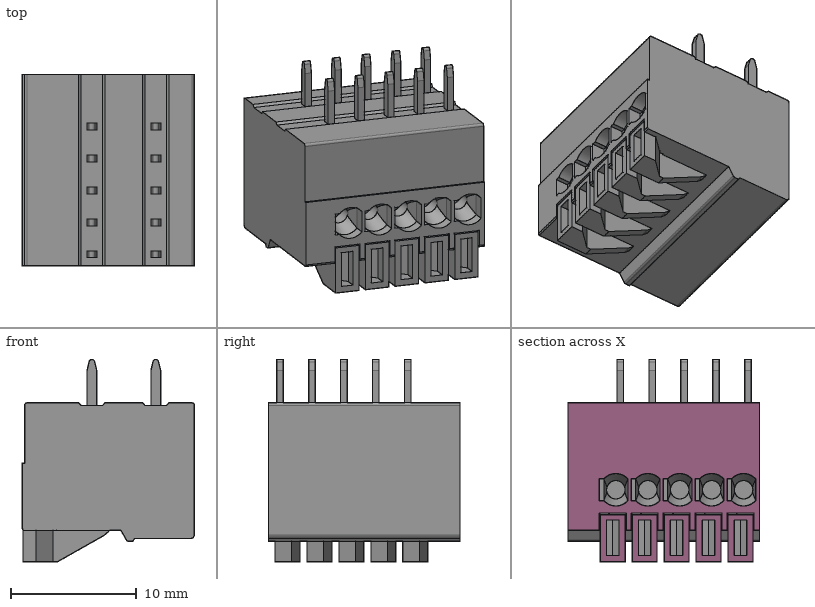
import cadquery as cq

LENGTH = 13.7
WIDTH = 15.24
TOP_Z = 12.65
BOTTOM_Z = 2.5
STEP_Z = 7.85
STEP_DEPTH = 0.2
EDGE_RADIUS = 0.2
LOW_EDGE_RADIUS = 0.3
FRONT_CHAMFER_X = 0.07
FRONT_CHAMFER_Z = 0.15
REAR_BOTTOM_Z = 1.85

FOOT_START_X = 7.85
FOOT_TIP_X = 8.35
FOOT_TIP_END_X = 8.8
FOOT_END_X = 8.95
FOOT_Z = 1.63
FOOT_RADIUS = 0.2

POLES = 5
POLE_PITCH = 2.54
FUNNEL_Y = POLE_PITCH / 2
LEVER_Y = 1.52
PIN_Y = 0.92

FIRST_ROW_X = 5.55
ROW_X = (FIRST_ROW_X, FIRST_ROW_X + 2 * POLE_PITCH)
GROOVE_TOP_WIDTH = 2.1
GROOVE_DEPTH = 0.2
PIN_LENGTH_X = 0.8
PIN_WIDTH_Y = 0.54
PIN_EMBED = 0.2
PIN_TOP_Z = 16.1
PIN_TAPER_Z = 15.2
PIN_SHOULDER_Z = 15.9
PIN_TIP_HALF = 0.23

FUNNEL_Z = 5.73
FUNNEL_RADIUS = 1.28
FUNNEL_HALF_WIDTH = 0.96
MOUTH_DEPTH = 1.07
CONE_LENGTH = 1.5
CONE_END_HALF_WIDTH = 0.71
BORE_RADIUS = 0.73
BORE_DEPTH = 4.0
POCKET_EDGE_Y = 1.3
POCKET_HEIGHT = 1.72

LEVER_FRONT_X = 0.07
LEVER_WIDTH = 2.0
LEVER_TOP_Z = 3.76
LEVER_FLAT_END_X = 2.82
LEVER_KNEE = (6.53, 2.1)
LEVER_END_X = 6.98
HEAD_END_X = 1.12
RIB_START_X = 2.44
RAMP_LENGTH = 0.3
SLOT_WIDTH = 2.12
SLOT_TOP_Z = 3.88
WINDOW_WIDTH = 0.97
WINDOW_BOTTOM_Z = 0.51
WINDOW_TOP_Z = 3.31


def extrude_along_y(outline, start_y, width):
    """Extrude an XZ outline from start_y towards +Y."""
    return outline.extrude(-width).translate((0, start_y, 0))


def make_housing():
    outline = cq.Workplane("XZ").polyline([
        (FRONT_CHAMFER_X, BOTTOM_Z),
        (FOOT_START_X, BOTTOM_Z),
        (FOOT_TIP_X, FOOT_Z),
        (FOOT_TIP_END_X, FOOT_Z),
        (FOOT_END_X, REAR_BOTTOM_Z),
        (LENGTH, REAR_BOTTOM_Z),
        (LENGTH, TOP_Z),
        (STEP_DEPTH, TOP_Z),
        (STEP_DEPTH, STEP_Z),
        (0, STEP_Z),
        (0, BOTTOM_Z + FRONT_CHAMFER_Z),
    ]).close()
    housing = extrude_along_y(outline, 0, WIDTH)
    housing = round_edge(housing, STEP_DEPTH, TOP_Z, EDGE_RADIUS)
    housing = round_edge(housing, LENGTH, TOP_Z, EDGE_RADIUS)
    housing = round_edge(housing, LENGTH, REAR_BOTTOM_Z, LOW_EDGE_RADIUS)
    return round_edge(housing, FOOT_TIP_X, FOOT_Z, FOOT_RADIUS)


def round_edge(body, x, z, radius):
    """Fillet the full-width edge that runs along Y through (x, z)."""
    edge = cq.selectors.NearestToPointSelector((x, WIDTH / 2, z))
    return body.edges("|Y").edges(edge).fillet(radius)


def make_groove(row_x):
    top_half = GROOVE_TOP_WIDTH / 2
    floor_half = top_half - GROOVE_DEPTH
    floor_z = TOP_Z - GROOVE_DEPTH
    outline = cq.Workplane("XZ").polyline([
        (row_x - top_half, TOP_Z),
        (row_x - floor_half, floor_z),
        (row_x + floor_half, floor_z),
        (row_x + top_half, TOP_Z),
    ]).close()
    return extrude_along_y(outline, 0, WIDTH)


def make_pin(row_x, center_y):
    half = PIN_LENGTH_X / 2
    base_z = TOP_Z - GROOVE_DEPTH - PIN_EMBED
    outline = (
        cq.Workplane("XZ")
        .moveTo(row_x - half, base_z)
        .lineTo(row_x + half, base_z)
        .lineTo(row_x + half, PIN_TAPER_Z)
        .lineTo(row_x + PIN_TIP_HALF, PIN_SHOULDER_Z)
        .threePointArc((row_x, PIN_TOP_Z), (row_x - PIN_TIP_HALF, PIN_SHOULDER_Z))
        .lineTo(row_x - half, PIN_TAPER_Z)
        .close()
    )
    return extrude_along_y(outline, center_y - PIN_WIDTH_Y / 2, PIN_WIDTH_Y)


def make_wire_entry(center_y):
    """Flat-sided round mouth with a pocket on its +Y side, narrowing inside to a round bore."""
    axis_start = cq.Workplane("YZ").center(center_y, FUNNEL_Z)
    mouth = axis_start.circle(FUNNEL_RADIUS).extrude(MOUTH_DEPTH)
    mouth_sides = axis_start.rect(2 * FUNNEL_HALF_WIDTH, 2 * FUNNEL_RADIUS).extrude(MOUTH_DEPTH)

    pocket_width = POCKET_EDGE_Y - FUNNEL_HALF_WIDTH
    pocket_start = axis_start.center(FUNNEL_HALF_WIDTH + pocket_width / 2, 0)
    pocket = pocket_start.rect(pocket_width, POCKET_HEIGHT).extrude(MOUTH_DEPTH)

    cone_end_x = MOUTH_DEPTH + CONE_LENGTH
    cone_start = cq.Vector(MOUTH_DEPTH, center_y, FUNNEL_Z)
    cone_axis = cq.Vector(1, 0, 0)
    cone = cq.Workplane(
        cq.Solid.makeCone(FUNNEL_RADIUS, BORE_RADIUS, CONE_LENGTH, cone_start, cone_axis))
    cone_sides = cq.Workplane("XY").polyline([
        (MOUTH_DEPTH, center_y - FUNNEL_HALF_WIDTH),
        (cone_end_x, center_y - CONE_END_HALF_WIDTH),
        (cone_end_x, center_y + CONE_END_HALF_WIDTH),
        (MOUTH_DEPTH, center_y + FUNNEL_HALF_WIDTH),
    ]).close().extrude(TOP_Z)
    bore = axis_start.circle(BORE_RADIUS).extrude(BORE_DEPTH)
    return (
        mouth.intersect(mouth_sides)
        .union(pocket)
        .union(cone.intersect(cone_sides))
        .union(bore)
    )


def narrowing_plan(front_x, end_x, center_y, width, height):
    """Full-width head that narrows at 45 degrees to a rib on the +Y side, extruded upwards."""
    near_y = center_y - width / 2
    far_y = center_y + width / 2
    rib_y = near_y + RIB_START_X - HEAD_END_X
    return cq.Workplane("XY").polyline([
        (front_x, near_y),
        (HEAD_END_X, near_y),
        (RIB_START_X, rib_y),
        (end_x, rib_y),
        (end_x, far_y),
        (front_x, far_y),
    ]).close().extrude(height)


def make_lever_slot(center_y):
    return narrowing_plan(0, RIB_START_X + RAMP_LENGTH, center_y, SLOT_WIDTH, SLOT_TOP_Z)


def make_lever(center_y):
    """Lever whose rib ramps up at the slot's rear to join the housing."""
    side_outline = cq.Workplane("XZ").polyline([
        (LEVER_FRONT_X, 0),
        (LEVER_FLAT_END_X, 0),
        LEVER_KNEE,
        (LEVER_END_X, BOTTOM_Z),
        (LEVER_END_X, SLOT_TOP_Z),
        (RIB_START_X + RAMP_LENGTH, SLOT_TOP_Z),
        (RIB_START_X, LEVER_TOP_Z),
        (LEVER_FRONT_X, LEVER_TOP_Z),
    ]).close()
    side = extrude_along_y(side_outline, center_y - LEVER_WIDTH / 2, LEVER_WIDTH)
    plan = narrowing_plan(LEVER_FRONT_X, LEVER_END_X, center_y, LEVER_WIDTH, SLOT_TOP_Z)
    return side.intersect(plan).cut(make_window(center_y))


def make_window(center_y):
    """Window whose -Y wall turns at 45 degrees, parallel to the narrowing lever."""
    half = WINDOW_WIDTH / 2
    return cq.Workplane("XY").workplane(offset=WINDOW_BOTTOM_Z).polyline([
        (LEVER_FRONT_X, center_y - half),
        (HEAD_END_X, center_y - half),
        (HEAD_END_X + half, center_y),
        (HEAD_END_X + half, center_y + half),
        (LEVER_FRONT_X, center_y + half),
    ]).close().extrude(WINDOW_TOP_Z - WINDOW_BOTTOM_Z)


result = make_housing()
for row_x in ROW_X:
    result = result.cut(make_groove(row_x))

for pole in range(POLES):
    offset = pole * POLE_PITCH
    result = result.cut(make_wire_entry(FUNNEL_Y + offset))
    result = result.cut(make_lever_slot(LEVER_Y + offset))
    result = result.union(make_lever(LEVER_Y + offset))
    for row_x in ROW_X:
        result = result.union(make_pin(row_x, PIN_Y + offset))